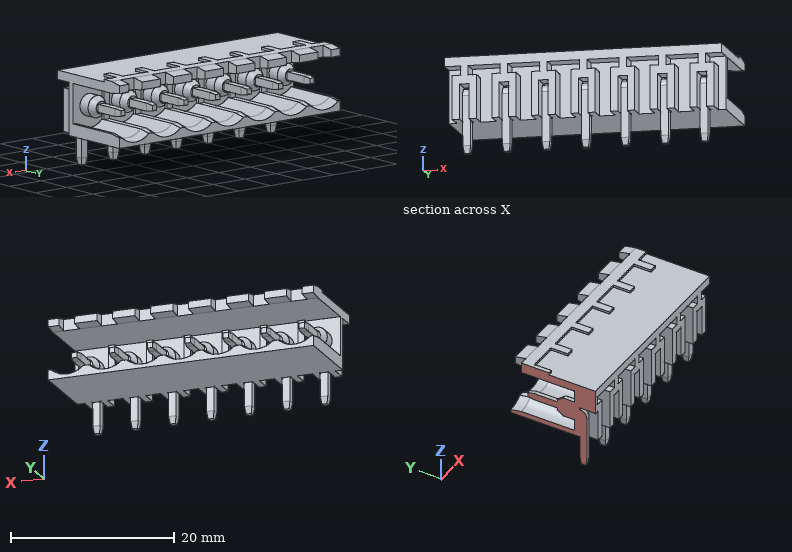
import cadquery as cq

PIN_COUNT = 7
LENGTH = 35.0
PITCH = LENGTH / PIN_COUNT
CELL_CENTRES = [(i + 0.5) * PITCH for i in range(PIN_COUNT)]
DIVIDERS = [i * PITCH for i in range(1, PIN_COUNT)]

DEPTH = 12.1
WALL_BACK_Y = 2.28
WALL_FRONT_Y = 3.08
RIB_FRONT_Y = 3.5
RIB_WIDTH = 0.85
LEAD_IN_LENGTH = 1.55
LEAD_IN_Y = DEPTH - LEAD_IN_LENGTH

SHELF_BOTTOM_Z = 4.02
SHELF_TOP_Z = 5.65
SHELF_LIP_Z = 5.32
ROOF_BOTTOM_Z = 10.7
ROOF_LIP_BOTTOM_Z = 10.92
ROOF_TOP_Z = 11.9
RAIL_TOP_Z = 12.2

RAIL_BACK_Y = 9.03
BAR_BACK_Y = 6.6
BAR_WIDTH = 1.05
NOTCH_WIDTH = 2.05

AXIS_Z = 7.75
CELL_RADIUS = 2.95
MOUTH_RADIUS = 3.22

COLLAR_RADIUS = 1.4
COLLAR_NOSE_RADIUS = 0.8
COLLAR_SHOULDER_Y = 4.65
COLLAR_NOSE_Y = 5.5

BLOCK_WIDTH = 3.05
BLOCK_TOP_Z = 9.55
NECK_WIDTH = 0.95
SLOT_WIDTH = 1.2
SLOT_TOP_Z = 8.45

PIN_SIZE = 1.0
PIN_TIP_SIZE = 0.7
TIP_LENGTH = 0.95
PIN_BACK_Y = 1.22
PIN_FRONT_Y = 9.7


def box(x_range, y_range, z_range):
    """Axis-aligned box between the given (low, high) limits."""
    (x0, x1), (y0, y1), (z0, z1) = x_range, y_range, z_range
    return cq.Workplane("XY").box(x1 - x0, y1 - y0, z1 - z0, centered=False).translate((x0, y0, z0))


def around(centre, width):
    """Limits of a width centred on a position."""
    return (centre - width / 2, centre + width / 2)


def make_shell():
    """C-shaped housing with a tapered shelf and roof, open at both ends."""
    profile = [
        (WALL_BACK_Y, SHELF_BOTTOM_Z),
        (DEPTH, SHELF_BOTTOM_Z),
        (DEPTH, SHELF_LIP_Z),
        (LEAD_IN_Y, SHELF_TOP_Z),
        (WALL_FRONT_Y, SHELF_TOP_Z),
        (WALL_FRONT_Y, ROOF_BOTTOM_Z),
        (LEAD_IN_Y, ROOF_BOTTOM_Z),
        (DEPTH, ROOF_LIP_BOTTOM_Z),
        (DEPTH, ROOF_TOP_Z),
        (LEAD_IN_Y, RAIL_TOP_Z),
        (RAIL_BACK_Y, RAIL_TOP_Z),
        (RAIL_BACK_Y, ROOF_TOP_Z),
        (0, ROOF_TOP_Z),
        (0, ROOF_BOTTOM_Z),
        (WALL_BACK_Y, ROOF_BOTTOM_Z),
    ]
    return cq.Workplane("YZ").polyline(profile).close().extrude(LENGTH)


def revolved(centre, radius_profile):
    """Solid of revolution about a contact axis, from (radius, y) points."""
    return (
        cq.Workplane("XY")
        .polyline(radius_profile)
        .close()
        .revolve(360, (0, 0, 0), (0, 1, 0))
        .translate((centre, 0, AXIS_Z))
    )


def make_cell_cut(centre):
    """Round bore that scoops the shelf in front of the wall."""
    return revolved(centre, [
        (0, WALL_FRONT_Y),
        (CELL_RADIUS, WALL_FRONT_Y),
        (CELL_RADIUS, LEAD_IN_Y),
        (MOUTH_RADIUS, DEPTH),
        (0, DEPTH),
    ])


def make_notch(centre):
    """Rectangular gap through the front edge of the roof."""
    return box(around(centre, NOTCH_WIDTH), (LEAD_IN_Y, DEPTH), (AXIS_Z, RAIL_TOP_Z))


def make_divider_rib(x):
    """Upright rib on the wall between two neighbouring cells."""
    return box(around(x, RIB_WIDTH), (WALL_FRONT_Y, RIB_FRONT_Y), (SHELF_TOP_Z, ROOF_BOTTOM_Z))


def make_marker_bar(centre):
    """Raised bar running back from the rail."""
    return box(around(centre, BAR_WIDTH), (BAR_BACK_Y, RAIL_BACK_Y), (ROOF_TOP_Z, RAIL_TOP_Z))


def make_collar(centre):
    """Round collar with a conical nose on the wall."""
    return revolved(centre, [
        (0, WALL_BACK_Y),
        (COLLAR_RADIUS, WALL_BACK_Y),
        (COLLAR_RADIUS, COLLAR_SHOULDER_Y),
        (COLLAR_NOSE_RADIUS, COLLAR_NOSE_Y),
        (0, COLLAR_NOSE_Y),
    ])


def make_block(centre):
    """Slotted support block joined to the roof by a narrow neck."""
    y_range = (0, WALL_BACK_Y)
    body = box(around(centre, BLOCK_WIDTH), y_range, (SHELF_BOTTOM_Z, BLOCK_TOP_Z))
    neck = box(around(centre, NECK_WIDTH), y_range, (BLOCK_TOP_Z, ROOF_BOTTOM_Z))
    slot = box(around(centre, SLOT_WIDTH), y_range, (SHELF_BOTTOM_Z, SLOT_TOP_Z))
    return body.union(neck).cut(slot)


def make_tip(plane):
    """Tapered pin end growing outward along the plane normal."""
    return (
        cq.Workplane(plane)
        .rect(PIN_SIZE, PIN_SIZE)
        .workplane(offset=TIP_LENGTH)
        .rect(PIN_TIP_SIZE, PIN_TIP_SIZE)
        .loft()
    )


def make_pin(centre):
    """L-shaped square pin with a rounded outer bend and tapered ends."""
    x_range = around(centre, PIN_SIZE)
    z_range = around(AXIS_Z, PIN_SIZE)
    inner_y = PIN_BACK_Y + PIN_SIZE
    leg = box(x_range, (PIN_BACK_Y, inner_y), (TIP_LENGTH, z_range[0]))
    arm = box(x_range, (inner_y, PIN_FRONT_Y - TIP_LENGTH), z_range)
    bend = (
        cq.Workplane("YZ", origin=(x_range[0], 0, 0))
        .center(inner_y, z_range[0])
        .circle(PIN_SIZE)
        .extrude(PIN_SIZE)
        .intersect(box(x_range, (PIN_BACK_Y, inner_y), z_range))
    )
    arm_end = cq.Plane((centre, PIN_FRONT_Y - TIP_LENGTH, AXIS_Z), xDir=(1, 0, 0), normal=(0, 1, 0))
    leg_end = cq.Plane((centre, PIN_BACK_Y + PIN_SIZE / 2, TIP_LENGTH), xDir=(1, 0, 0), normal=(0, 0, -1))
    pin = leg.union(bend).union(arm)
    for end in (arm_end, leg_end):
        pin = pin.union(make_tip(end))
    return pin


result = make_shell()
for cell_x in CELL_CENTRES:
    result = result.cut(make_cell_cut(cell_x)).cut(make_notch(cell_x))
for cell_x in CELL_CENTRES:
    for feature in (make_marker_bar, make_collar, make_block, make_pin):
        result = result.union(feature(cell_x))
for divider_x in DIVIDERS:
    result = result.union(make_divider_rib(divider_x))